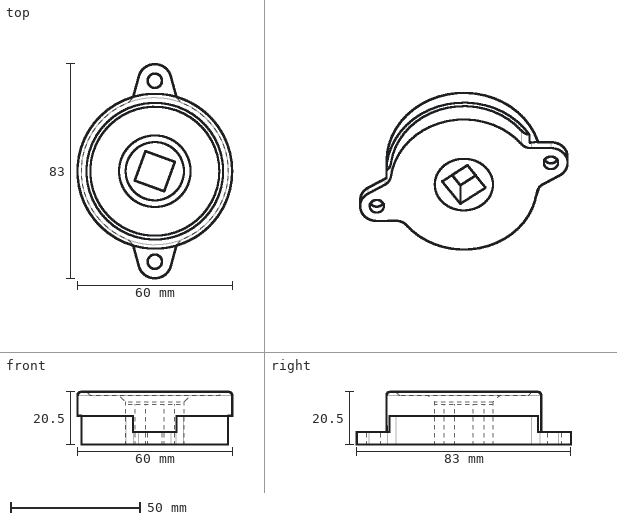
import cadquery as cq
import math

total_height = 20.5
rim_radius = 60.0 / 2
rim_fillet = 1.5
base_radius = 28.45
base_height = 11.1

lug_thickness = 5.0
lug_tip_radius = 6.5
lug_tip_y = 41.5
lug_hole_y = lug_tip_y - lug_tip_radius
lug_hole_diameter = 5.5
lug_taper = 15.2
lug_root_y = 16.6
lug_root_fillet = 5.0
corner_tolerance = 0.1

dish_top_radius = 26.5
dish_floor_radius = 25.0
dish_depth = 1.5
dish_floor_z = total_height - dish_depth

cone_top_radius = 13.85
cone_bottom_radius = 11.3
cone_depth = 2.5
cone_bottom_z = dish_floor_z - cone_depth

hub_drop = 1.0
hub_height = cone_bottom_z - hub_drop
square_side = 12.0
square_angle = -20.0


def cylinder(radius, height):
    return cq.Workplane("XY").circle(radius).extrude(height)


def conical_cut(top_radius, bottom_radius, bottom_z, depth):
    """Frustum that widens upwards."""
    return (
        cq.Workplane("XY")
        .workplane(offset=bottom_z)
        .circle(bottom_radius)
        .workplane(offset=depth)
        .circle(top_radius)
        .loft(ruled=True)
    )


def lug(height, direction):
    """Tapered lug with a round tip; direction is +1 or -1 along Y."""
    taper = math.radians(lug_taper)
    side_x = lug_tip_radius * math.cos(taper)
    side_y = lug_hole_y + lug_tip_radius * math.sin(taper)
    root_x = side_x + (side_y - lug_root_y) * math.tan(taper)
    return (
        cq.Workplane("XY")
        .moveTo(-root_x, direction * lug_root_y)
        .lineTo(-side_x, direction * side_y)
        .threePointArc((0, direction * lug_tip_y), (side_x, direction * side_y))
        .lineTo(root_x, direction * lug_root_y)
        .close()
        .extrude(height)
    )


def footprint(height):
    """Round base and both lugs, blended where the lug sides meet the base."""
    body = cylinder(base_radius, height)
    for direction in (1, -1):
        body = body.union(lug(height, direction))
    corners = body.edges("|Z").filter(
        lambda edge: abs(math.hypot(edge.Center().x, edge.Center().y) - base_radius) < corner_tolerance
        and abs(edge.Center().y) > lug_root_y
    )
    return body.newObject(corners.vals()).fillet(lug_root_fillet)


def make_housing():
    lugs = footprint(lug_thickness)
    base = footprint(base_height).intersect(cylinder(rim_radius, base_height))
    rim = (
        cq.Workplane("XY")
        .workplane(offset=base_height)
        .circle(rim_radius)
        .extrude(total_height - base_height)
        .faces(">Z")
        .edges()
        .fillet(rim_fillet)
    )
    body = base.union(lugs).union(rim)
    lug_holes = (
        cq.Workplane("XY")
        .pushPoints([(0, lug_hole_y), (0, -lug_hole_y)])
        .circle(lug_hole_diameter / 2)
        .extrude(lug_thickness)
    )
    return (
        body.cut(lug_holes)
        .cut(conical_cut(dish_top_radius, dish_floor_radius, dish_floor_z, dish_depth))
        .cut(conical_cut(cone_top_radius, cone_bottom_radius, cone_bottom_z, cone_depth))
        .cut(cylinder(cone_bottom_radius, cone_bottom_z))
    )


def make_hub():
    """Round hub that fills the bore and carries the turned square socket."""
    socket = (
        cq.Workplane("XY")
        .rect(square_side, square_side)
        .extrude(hub_height)
        .rotate((0, 0, 0), (0, 0, 1), square_angle)
    )
    return cylinder(cone_bottom_radius, hub_height).cut(socket)


housing = make_housing()
hub = make_hub()
result = cq.Compound.makeCompound([housing.val(), hub.val()])